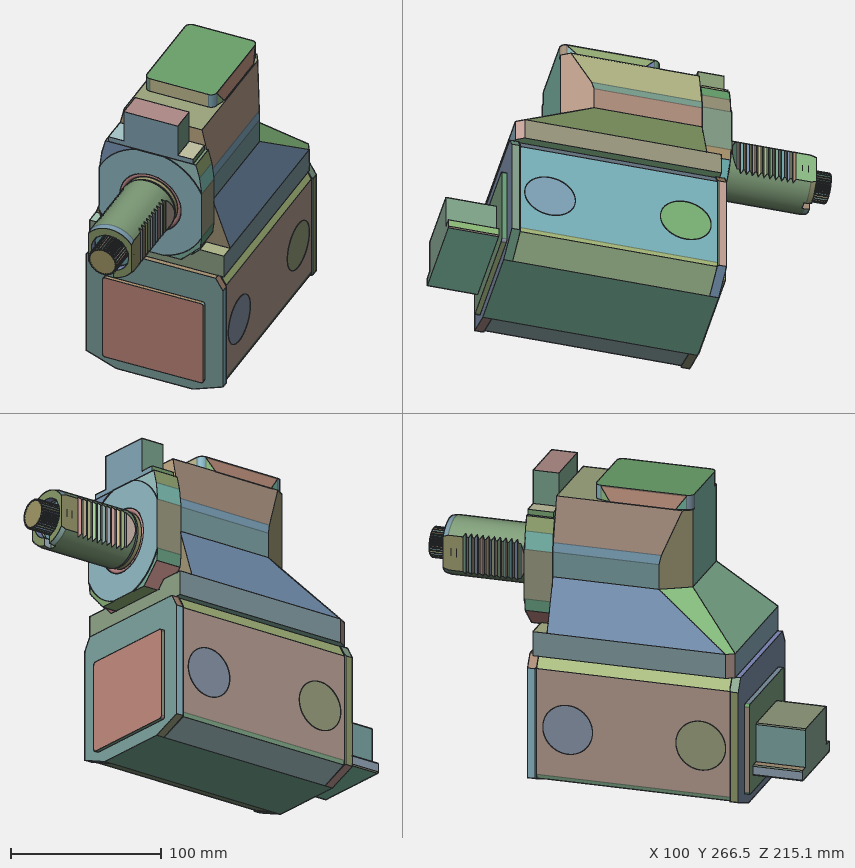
import cadquery as cq
import math


KEY_TOP = 67.5
COVER_TOP = 64.8
BODY_TOP = 54.5
SHOULDER_Z = 24.0
BELT_Z = 17.5
PLATE_TOP = -35.5
HOUSING_TOP = -52.5
HOUSING_BOTTOM = -147.6

FLANGE_HALF_WIDTH = 37.3
FLANGE_HALF_HEIGHT = 40.0
FLANGE_THICKNESS = 20.0
FLANGE_TOP_CORNER_X = 33.0
FLANGE_UPPER_BEND = (35.7, 30.0)
FLANGE_LOWER_BEND = (36.2, -26.0)
FLANGE_BOTTOM_CORNER_X = 22.5
FACE_DIAMETER = 82.5
FACE_STEP = 0.5
SEAL_DIAMETER = 44.8
SEAL_DEPTH = 1.5
SEAL_RING_DIAMETER = 41.8
SEAL_RING_SECTION = 3.2

KEY_FRONT = 0.8
KEY_BACK = 18.7
KEY_WIDTH = 39.5
LEDGE_WIDTH = 61.8
LEDGE_TOP = 43.7

BODY_BACK = 113.8
BODY_HALF_WIDTH = 36.2
SHOULDER_HALF_WIDTH = 35.5
TOP_HALF_WIDTH = 28.5
BODY_CORNER_X = 11.2
BODY_CORNER_Y = 20.0
COVER_FRONT = 45.5
COVER_WIDTH = 51.2
COVER_CORNER = 4.3
FLARE_INSET = 11.2
FLARE_LEDGE = 0.8

PLATE_HALF_WIDTH = 49.0
PLATE_FRONT = 10.0
PLATE_BACK = 150.0
PLATE_CORNER_X = 3.2
PLATE_CORNER_Y = PLATE_CORNER_X * BODY_CORNER_Y / BODY_CORNER_X
NOTCH_HALF_WIDTH = 31.5
NOTCH_DEPTH = 5.5

HOUSING_WIDTH = 100.0
HOUSING_HALF_WIDTH = HOUSING_WIDTH / 2
HOUSING_FRONT = 6.7
HOUSING_BACK = 153.5
END_PLATE = 6.0
SIDE_INSET = 0.8
HOUSING_SHOULDER = (5.3, 8.8)
HOUSING_FOOT = (21.9, 8.3)
SIDE_FOOT_Z = -136.5
SIDE_PLUG_DIAMETER = 34.6
SIDE_PLUG_DEPTH = 0.3
SIDE_PLUG_Z = -102.3
SIDE_PLUG_YS = (34.5, 127.0)

PAD_WIDTH = 73.5
PAD_TOP = -74.4
PAD_BOTTOM = -138.5
PAD_CORNER = 1.9
FRONT_PAD = 2.7
BACK_PAD = 3.5
CONNECTOR_BACK = 191.3
CONNECTOR_WIDTH = 44.8
CONNECTOR_TOP = -92.7
CONNECTOR_FOOT_WIDTH = 58.0
CONNECTOR_FOOT_TOP = -120.0
CONNECTOR_BOTTOM = -127.5
CONNECTOR_CHAMFER = 0.8

SHANK_DIAMETER = 40.0
NECK_DIAMETER = 38.6
NECK_LENGTH = 2.0
LEAD_IN = 4.0
SHANK_LENGTH = 63.5
TIP_CHAMFER_LENGTH = 3.7
TIP_CHAMFER = 0.8
FLAT_X = 15.7
FLAT_RUNOUT = 4.3
FLAT_START = 9.0
TOOTH_COUNT = 10
TOOTH_PITCH = 4.0
TOOTH_START = 12.0
TOOTH_DEPTH = 1.9
TOOTH_WIDTH = 3.0
BORE_DIAMETER = 27.2
LIP_LENGTH = 5.3
CHAMBER_DIAMETER = 30.5
BORE_DEPTH = 9.3
SLOT_WIDTH = 5.3
PIN_DIAMETER = 20.8
PIN_ROOT_DIAMETER = 18.7
PIN_CHAMFER = 0.8
PIN_END = 75.2
SPLINE_COUNT = 30


def block(width, y0, y1, z0, z1):
    """Box centred on X = 0."""
    return cq.Workplane("XY").box(width, y1 - y0, z1 - z0, (True, False, False)).translate((0, y0, z0))


def mirrored(points):
    """Close a right-hand half outline with its mirror image in X."""
    return points + [(-x, z) for x, z in reversed(points)]


def along_y(outline, y0, y1):
    """Extrude an XZ outline from y0 to y1."""
    return cq.Workplane("XZ", origin=(0, y0, 0)).polyline(outline).close().extrude(y0 - y1)


def cylinder(diameter, y0, y1):
    """Cylinder on the spindle axis from y0 to y1."""
    return cq.Workplane("XZ", origin=(0, y0, 0)).circle(diameter / 2).extrude(y0 - y1)


def plan_outline(half_width, front, back, corner_x, corner_y):
    """Plan of a block whose two rear corners are cut off."""
    return mirrored([
        (half_width, front),
        (half_width, back - corner_y),
        (half_width - corner_x, back),
    ])


BODY_PLAN = plan_outline(BODY_HALF_WIDTH, FLANGE_THICKNESS, BODY_BACK, BODY_CORNER_X, BODY_CORNER_Y)


def base():
    """Base plate with a flange notch, and the skirt that tapers up to the body."""
    plate_plan = plan_outline(PLATE_HALF_WIDTH, PLATE_FRONT, PLATE_BACK, PLATE_CORNER_X, PLATE_CORNER_Y)
    plate = (
        cq.Workplane("XY", origin=(0, 0, HOUSING_TOP))
        .polyline(plate_plan).close().extrude(PLATE_TOP - HOUSING_TOP)
    )
    notch = mirrored([
        (NOTCH_HALF_WIDTH, PLATE_TOP),
        (NOTCH_HALF_WIDTH - NOTCH_DEPTH, PLATE_TOP - NOTCH_DEPTH),
    ])
    plate = plate.cut(along_y(notch, PLATE_FRONT, FLANGE_THICKNESS))
    skirt_plan = plan_outline(PLATE_HALF_WIDTH, FLANGE_THICKNESS, PLATE_BACK, PLATE_CORNER_X, PLATE_CORNER_Y)
    skirt = (
        cq.Workplane("XY", origin=(0, 0, PLATE_TOP)).polyline(skirt_plan).close()
        .workplane(offset=-PLATE_TOP).polyline(BODY_PLAN).close().loft(ruled=True)
    )
    return plate.union(skirt)


def upper_body():
    """Tapered head above the spindle axis and a rounded cover whose sides flare out towards it."""
    slope = (SHOULDER_HALF_WIDTH - TOP_HALF_WIDTH) / (BODY_TOP - SHOULDER_Z)
    section = along_y(mirrored([
        (BODY_HALF_WIDTH, 0),
        (BODY_HALF_WIDTH, BELT_Z),
        (SHOULDER_HALF_WIDTH, SHOULDER_Z),
        (TOP_HALF_WIDTH, BODY_TOP),
    ]), FLANGE_THICKNESS, BODY_BACK)
    head = cq.Workplane("XY").polyline(BODY_PLAN).close().extrude(BODY_TOP).intersect(section)
    cover = (
        block(COVER_WIDTH, COVER_FRONT, BODY_BACK, BODY_TOP, COVER_TOP)
        .edges("|Z").fillet(COVER_CORNER)
    )
    flare_half_width = TOP_HALF_WIDTH - FLARE_LEDGE
    flare_section = along_y(mirrored([
        (flare_half_width, BODY_TOP),
        (flare_half_width - slope * (COVER_TOP - BODY_TOP), COVER_TOP),
    ]), COVER_FRONT, BODY_BACK)
    flare_plan = mirrored([
        (COVER_WIDTH / 2, COVER_FRONT + COVER_CORNER),
        (flare_half_width, COVER_FRONT + FLARE_INSET),
        (flare_half_width, BODY_BACK - FLARE_INSET),
        (COVER_WIDTH / 2, BODY_BACK - COVER_CORNER),
    ])
    flare = (
        cq.Workplane("XY", origin=(0, 0, BODY_TOP))
        .polyline(flare_plan).close().extrude(COVER_TOP - BODY_TOP).intersect(flare_section)
    )
    return head.union(cover).union(flare)


def flange():
    """Flange with a raised round face, a sealing ring around the shank and a locating key on top."""
    outline = mirrored([
        (FLANGE_TOP_CORNER_X, FLANGE_HALF_HEIGHT),
        FLANGE_UPPER_BEND,
        (FLANGE_HALF_WIDTH, BELT_Z),
        (FLANGE_HALF_WIDTH, -BELT_Z),
        FLANGE_LOWER_BEND,
        (FLANGE_BOTTOM_CORNER_X, -FLANGE_HALF_HEIGHT),
    ])
    plate = along_y(outline, FACE_STEP, FLANGE_THICKNESS)
    face = cylinder(FACE_DIAMETER, 0, FLANGE_THICKNESS / 2).intersect(along_y(outline, 0, FLANGE_THICKNESS))
    ledge = block(LEDGE_WIDTH, KEY_FRONT, KEY_BACK, 0, LEDGE_TOP)
    key = block(KEY_WIDTH, KEY_FRONT, KEY_BACK, 0, KEY_TOP)
    recess = cylinder(SEAL_DIAMETER, 0, SEAL_DEPTH)
    ring_radius = SEAL_RING_DIAMETER / 2
    ring = (
        cq.Workplane("XY", origin=(ring_radius, SEAL_DEPTH, 0)).circle(SEAL_RING_SECTION / 2)
        .revolve(360, (-ring_radius, 0), (-ring_radius, 1))
    )
    return plate.union(face).union(ledge).union(key).cut(recess).union(ring)


def housing():
    """Motor housing: a core between two slightly wider end plates with bevelled inner edges."""
    shoulder_x, shoulder_z = HOUSING_SHOULDER
    foot_x, foot_z = HOUSING_FOOT
    top_corner = (HOUSING_HALF_WIDTH - shoulder_x, HOUSING_TOP)
    bottom_corner = (HOUSING_HALF_WIDTH - foot_x, HOUSING_BOTTOM)
    end_outline = mirrored([
        top_corner,
        (HOUSING_HALF_WIDTH, HOUSING_TOP - shoulder_z),
        (HOUSING_HALF_WIDTH, HOUSING_BOTTOM + foot_z),
        bottom_corner,
    ])
    core_half_width = HOUSING_HALF_WIDTH - SIDE_INSET
    core_outline = mirrored([
        (top_corner[0] - SIDE_INSET, HOUSING_TOP),
        (core_half_width, HOUSING_TOP - shoulder_z),
        (core_half_width, SIDE_FOOT_Z),
        (core_half_width - SIDE_INSET, HOUSING_BOTTOM + foot_z),
        bottom_corner,
    ])
    shell = along_y(core_outline, HOUSING_FRONT, HOUSING_BACK)
    for y, inner_face in ((HOUSING_FRONT, ">Y"), (HOUSING_BACK - END_PLATE, "<Y")):
        end_plate = along_y(end_outline, y, y + END_PLATE)
        shell = shell.union(end_plate.faces(inner_face).edges("|Z").chamfer(SIDE_INSET))
    for side in (-1, 1):
        shell = shell.cut(
            cq.Workplane("YZ", origin=(side * core_half_width, 0, 0))
            .pushPoints([(y, SIDE_PLUG_Z) for y in SIDE_PLUG_YS])
            .circle(SIDE_PLUG_DIAMETER / 2).extrude(-side * SIDE_PLUG_DEPTH)
        )
    return shell


def housing_ends():
    """Rounded pads on both ends and the stepped connector on the rear pad."""
    pad = (
        block(PAD_WIDTH, HOUSING_FRONT - FRONT_PAD, HOUSING_BACK + BACK_PAD, PAD_BOTTOM, PAD_TOP)
        .edges("|Y").fillet(PAD_CORNER)
    )
    stem = block(CONNECTOR_WIDTH, HOUSING_BACK, CONNECTOR_BACK, CONNECTOR_BOTTOM, CONNECTOR_TOP)
    foot = block(CONNECTOR_FOOT_WIDTH, HOUSING_BACK, CONNECTOR_BACK, CONNECTOR_BOTTOM, CONNECTOR_FOOT_TOP)
    stem = stem.edges("|Y").chamfer(CONNECTOR_CHAMFER)
    foot = foot.edges("|Y").chamfer(CONNECTOR_CHAMFER)
    return pad.union(stem).union(foot)


def flat_cutter():
    """Cutter for the +X flat of the shank: sloped run-out, flat and V-shaped serrations."""
    outside = FLAT_X + FLAT_RUNOUT
    cutter = (
        cq.Workplane("XY")
        .polyline([
            (outside, FLAT_RUNOUT - FLAT_START),
            (FLAT_X, -FLAT_START),
            (FLAT_X, -SHANK_LENGTH),
            (outside, -SHANK_LENGTH),
        ])
        .close().extrude(SHANK_DIAMETER / 2, both=True)
    )
    for i in range(TOOTH_COUNT):
        y = -TOOTH_START - i * TOOTH_PITCH
        groove = [
            (FLAT_X, y - TOOTH_WIDTH / 2),
            (FLAT_X - TOOTH_DEPTH, y),
            (FLAT_X, y + TOOTH_WIDTH / 2),
            (outside, y + TOOTH_WIDTH / 2),
            (outside, y - TOOTH_WIDTH / 2),
        ]
        cutter = cutter.union(
            cq.Workplane("XY").polyline(groove).close().extrude(SHANK_DIAMETER / 2, both=True)
        )
    return cutter


def shank():
    """Round shank with serrated flats on both sides, a stepped end bore and a slot through its lip."""
    radius = SHANK_DIAMETER / 2
    body = (
        cq.Workplane("XY")
        .polyline([
            (0, FLANGE_THICKNESS / 2),
            (NECK_DIAMETER / 2, FLANGE_THICKNESS / 2),
            (NECK_DIAMETER / 2, -NECK_LENGTH),
            (radius, -LEAD_IN),
            (radius, TIP_CHAMFER_LENGTH - SHANK_LENGTH),
            (radius - TIP_CHAMFER, -SHANK_LENGTH),
            (0, -SHANK_LENGTH),
        ])
        .close().revolve(360, (0, 0), (0, 1))
    )
    cutter = flat_cutter()
    bore = cylinder(BORE_DIAMETER, -SHANK_LENGTH, BORE_DEPTH - SHANK_LENGTH)
    chamber = cylinder(CHAMBER_DIAMETER, LIP_LENGTH - SHANK_LENGTH, BORE_DEPTH - SHANK_LENGTH)
    slot = block(SLOT_WIDTH, -SHANK_LENGTH, LIP_LENGTH - SHANK_LENGTH, -radius, 0)
    return body.cut(cutter).cut(cutter.mirror("YZ")).cut(bore).cut(chamber).cut(slot)


def drive_pin():
    """Pin with trapezoidal splines that stands in the bore of the shank."""
    outline = []
    radii = [PIN_DIAMETER / 2] * 2 + [PIN_ROOT_DIAMETER / 2] * 2
    step = 2 * math.pi / (SPLINE_COUNT * len(radii))
    for i in range(SPLINE_COUNT * len(radii)):
        radius = radii[i % len(radii)]
        outline.append((radius * math.cos(i * step), radius * math.sin(i * step)))
    blank = cylinder(PIN_DIAMETER, -PIN_END, BORE_DEPTH - SHANK_LENGTH).faces("<Y").chamfer(PIN_CHAMFER)
    return along_y(outline, -PIN_END, BORE_DEPTH - SHANK_LENGTH).intersect(blank)


result = base()
for feature in (upper_body(), flange(), housing(), housing_ends(), shank(), drive_pin()):
    result = result.union(feature)